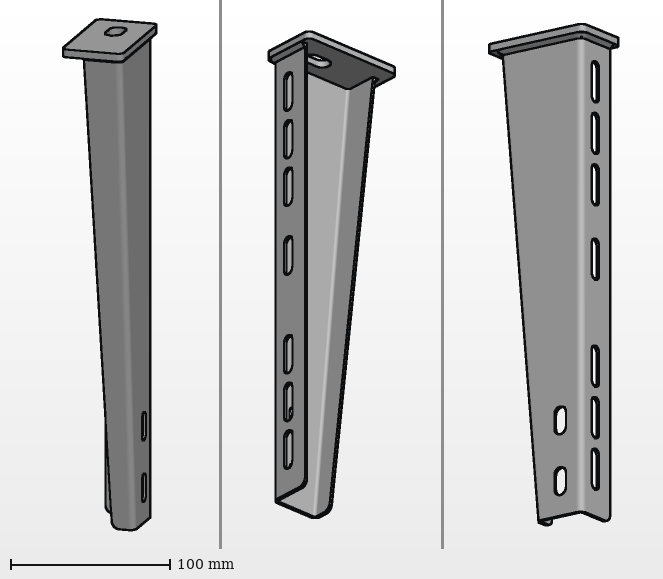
import cadquery as cq
import math

overall_height = 320.2
plate_width = 40.0
plate_depth = 75.0
plate_thickness = 5.0
plate_corner_radius = 4.0
plate_slot_width = 11.0
plate_slot_length = 20.0
plate_slot_from_back = 25.0

sheet = 2.0
inner_bend_radius = 2.0
outer_bend_radius = inner_bend_radius + sheet
edge_margin = 3.0
back_flange_width = 30.0
depth_at_top = 64.0
depth_at_bottom = 36.0
front_flange_top_width = 25.0
front_flange_bottom_width = 15.0
flange_corner_radius = 5.0
weld_leg = 3.0

web_slot_width = 9.0
web_slot_length = 18.3
web_slot_from_back = 17.0
web_slot_heights = [23.0, 63.0]
back_slot_from_web = 14.5
back_slot_width = 7.7
back_slot_length = 27.0
back_slot_pitch = 34.0
back_slot_group_size = 3
lower_back_slot = 31.5
middle_back_slot = 169.7
upper_back_slot = 218.7

channel_top = overall_height - plate_thickness
web_x = plate_width / 2 - edge_margin
open_x = web_x - back_flange_width
back_y = -edge_margin
front_top_y = back_y - depth_at_top
front_bottom_y = back_y - depth_at_bottom
lean = math.atan2(depth_at_top - depth_at_bottom, channel_top)
web_bottom = sheet * math.sin(lean)


def front_y(z):
    """Y of the outer face of the front flange at height z."""
    return front_bottom_y - z * math.tan(lean)


def inner_front_y(z):
    """Y of the inner face of the front flange at height z."""
    return front_y(z) + sheet / math.cos(lean)


def side_prism(points, x_start, x_end):
    """Prism along X with the given (Y, Z) outline."""
    return cq.Workplane("YZ", origin=(x_start, 0, 0)).polyline(points).close().extrude(x_end - x_start)


def front_flange_prism(points):
    """Prism with an (X, Z) outline that passes through the front flange but not the back one."""
    through = depth_at_top - depth_at_bottom + 3 * sheet + weld_leg
    start_y = front_bottom_y + 2 * sheet
    return cq.Workplane("XZ", origin=(0, start_y, 0)).polyline(points).close().extrude(through)


def round_bends(prism, x, radius):
    """Round the two long edges of a side prism that lie at the given X."""
    reach = sheet / 2
    bends = cq.selectors.BoxSelector(
        (x - reach, front_top_y - reach, channel_top / 4),
        (x + reach, back_y + reach, channel_top * 3 / 4),
    )
    return prism.edges(bends).fillet(radius)


def bent_sheet():
    """U-shaped sheet with rounded bends and an open -X side."""
    outer = side_prism(
        [
            (back_y, web_bottom),
            (inner_front_y(web_bottom), web_bottom),
            (front_bottom_y, 0),
            (front_top_y, channel_top),
            (back_y, channel_top),
        ],
        open_x,
        web_x,
    )
    inner_x = web_x - sheet
    below = -sheet
    inner = side_prism(
        [
            (back_y - sheet, below),
            (inner_front_y(below), below),
            (inner_front_y(channel_top), channel_top),
            (back_y - sheet, channel_top),
        ],
        open_x,
        inner_x,
    )
    rounded_outer = round_bends(outer, web_x, outer_bend_radius)
    rounded_inner = round_bends(inner, inner_x, inner_bend_radius)
    return rounded_outer.cut(rounded_inner)


def weld_bead():
    """45 degree bead under the plate, around the outside of the channel."""
    bead_bottom = channel_top - weld_leg
    bead_front = front_y(bead_bottom)
    start_x = open_x - 2 * weld_leg
    length = web_x - start_x
    foot = (
        cq.Sketch()
        .push([(web_x - length / 2, (bead_front + back_y) / 2)])
        .rect(length, back_y - bead_front)
        .reset()
        .vertices()
        .fillet(outer_bend_radius)
    )
    bead = cq.Workplane("XY", origin=(0, 0, bead_bottom)).placeSketch(foot).extrude(weld_leg, taper=-45)

    overlap = sheet / 2
    core = side_prism(
        [
            (back_y - overlap, bead_bottom),
            (inner_front_y(bead_bottom) - overlap, bead_bottom),
            (inner_front_y(channel_top) - overlap, channel_top),
            (back_y - overlap, channel_top),
        ],
        start_x - 2 * weld_leg,
        web_x - overlap,
    )
    beyond_opening = (
        cq.Workplane("XY", origin=(open_x - plate_width / 2, -plate_depth / 2, bead_bottom))
        .box(plate_width, 2 * plate_depth, weld_leg, centered=(True, True, False))
    )
    return bead.cut(core).cut(beyond_opening)


def front_flange_trim():
    """Material removed beside the tapering free edge of the front flange."""
    top_x = web_x - front_flange_top_width
    bottom_x = web_x - front_flange_bottom_width
    return front_flange_prism([
        (bottom_x, 0),
        (top_x, channel_top),
        (open_x - sheet, channel_top),
        (open_x - sheet, 0),
    ])


def channel_slots():
    """Cutters for the two web slots and the row of back flange slots."""
    web_slots = (
        cq.Workplane("YZ", origin=(web_x - 2 * sheet, 0, 0))
        .pushPoints([(back_y - web_slot_from_back, z) for z in web_slot_heights])
        .slot2D(web_slot_length, web_slot_width, 90)
        .extrude(3 * sheet)
    )
    heights = [middle_back_slot]
    for first in (lower_back_slot, upper_back_slot):
        heights += [first + i * back_slot_pitch for i in range(back_slot_group_size)]
    back_slots = (
        cq.Workplane("XZ", origin=(0, back_y + sheet, 0))
        .pushPoints([(web_x - back_slot_from_web, z) for z in heights])
        .slot2D(back_slot_length, back_slot_width, 90)
        .extrude(3 * sheet)
    )
    return web_slots.add(back_slots).combine()


def round_corner(channel, x, y):
    """Round the lower corner of a flange's free edge; the corner runs through the sheet at (x, y)."""
    reach = 2 * sheet
    half_width = sheet / 4
    corner = cq.selectors.BoxSelector(
        (x - half_width, y - reach, -reach / 4),
        (x + half_width, y + reach, reach / 4),
    )
    return channel.edges(corner).fillet(flange_corner_radius)


def make_channel():
    """Bent sheet with its weld bead, tapered front flange, rounded lower corners and slots."""
    channel = bent_sheet().union(weld_bead()).cut(front_flange_trim())
    trim_x = web_x - front_flange_bottom_width
    channel = round_corner(channel, open_x, back_y)
    channel = round_corner(channel, trim_x, front_bottom_y)
    return channel.cut(channel_slots())


def make_plate():
    """Rounded head plate with one slot along Y."""
    plate = (
        cq.Workplane("XY", origin=(0, -plate_depth / 2, channel_top))
        .box(plate_width, plate_depth, plate_thickness, centered=(True, True, False))
        .edges("|Z")
        .fillet(plate_corner_radius)
    )
    slot = (
        cq.Workplane("XY", origin=(0, -plate_slot_from_back, channel_top))
        .slot2D(plate_slot_length, plate_slot_width, 90)
        .extrude(plate_thickness)
    )
    return plate.cut(slot)


channel = make_channel()
plate = make_plate()
result = cq.Compound.makeCompound([channel.solids().val(), plate.solids().val()])